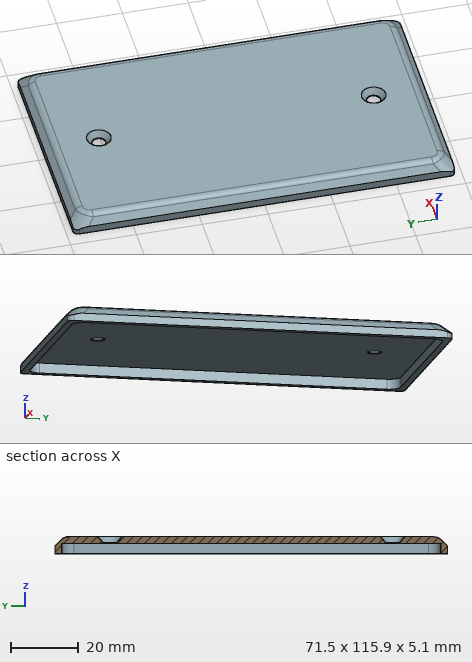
import cadquery as cq
import math

WIDTH = 71.5
LENGTH = 115.9
HEIGHT = 5.1

WALL_HEIGHT = 2.3
CORNER_RADIUS = 1.6
BEVEL_ANGLE = 45.0
BEVEL_CORNER_RADIUS = 6.4
TOP_EDGE_RADIUS = 3.1

HOLE_SPACING = 83.4
HOLE_DIAMETER = 4.2
COUNTERSINK_DIAMETER = 7.3
COUNTERSINK_ANGLE = 82.0

SHELL = 2.1
HOLLOW_CORNER_RADIUS = 3.5


def rounded_prism():
    """Upright block with lightly rounded corners."""
    block = cq.Workplane("XY").box(WIDTH, LENGTH, HEIGHT, centered=(True, True, False))
    return block.edges("|Z").fillet(CORNER_RADIUS)


def bevelled_cap():
    """Pyramid frustum whose sloping edges and top edge are rounded."""
    spread = WALL_HEIGHT / math.tan(math.radians(BEVEL_ANGLE))
    frustum = (
        cq.Workplane("XY")
        .rect(WIDTH + 2 * spread, LENGTH + 2 * spread)
        .extrude(HEIGHT, taper=90 - BEVEL_ANGLE)
    )
    frustum = frustum.edges("not #Z").fillet(BEVEL_CORNER_RADIUS)
    return frustum.faces(">Z").edges().fillet(TOP_EDGE_RADIUS)


def hollow():
    """Recess open at the bottom, as far in from the outer sides as from the top."""
    recess = cq.Workplane("XY").box(
        WIDTH - 2 * SHELL, LENGTH - 2 * SHELL, HEIGHT - SHELL, centered=(True, True, False)
    )
    return recess.edges("|Z").fillet(HOLLOW_CORNER_RADIUS)


plate = rounded_prism().intersect(bevelled_cap()).cut(hollow())
result = (
    plate.faces(">Z")
    .workplane(origin=(0, 0, HEIGHT))
    .rarray(1.2, HOLE_SPACING, 1, 2)
    .cskHole(HOLE_DIAMETER, COUNTERSINK_DIAMETER, COUNTERSINK_ANGLE)
)